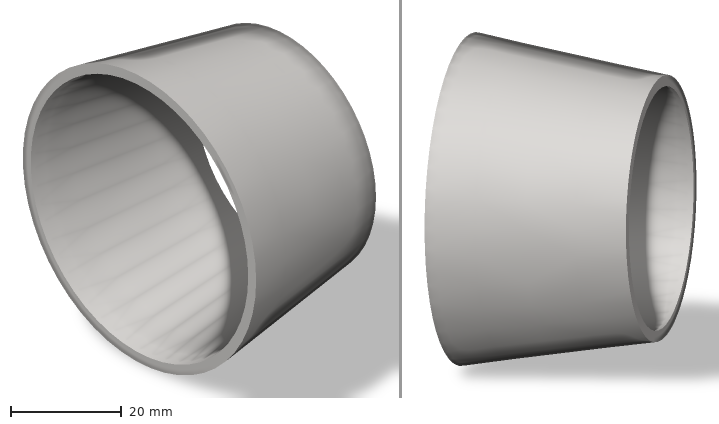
import cadquery as cq

length = 36.0
large_outer_diameter = 60.3
small_outer_diameter = 48.3
wall_thickness = 2.05

large_outer_radius = large_outer_diameter / 2
small_outer_radius = small_outer_diameter / 2
large_inner_radius = large_outer_radius - wall_thickness
small_inner_radius = small_outer_radius - wall_thickness

wall_section = (
    cq.Workplane("XY")
    .moveTo(large_inner_radius, 0)
    .lineTo(large_outer_radius, 0)
    .lineTo(small_outer_radius, length)
    .lineTo(small_inner_radius, length)
    .close()
)

result = wall_section.revolve(360, (0, 0, 0), (0, 1, 0))